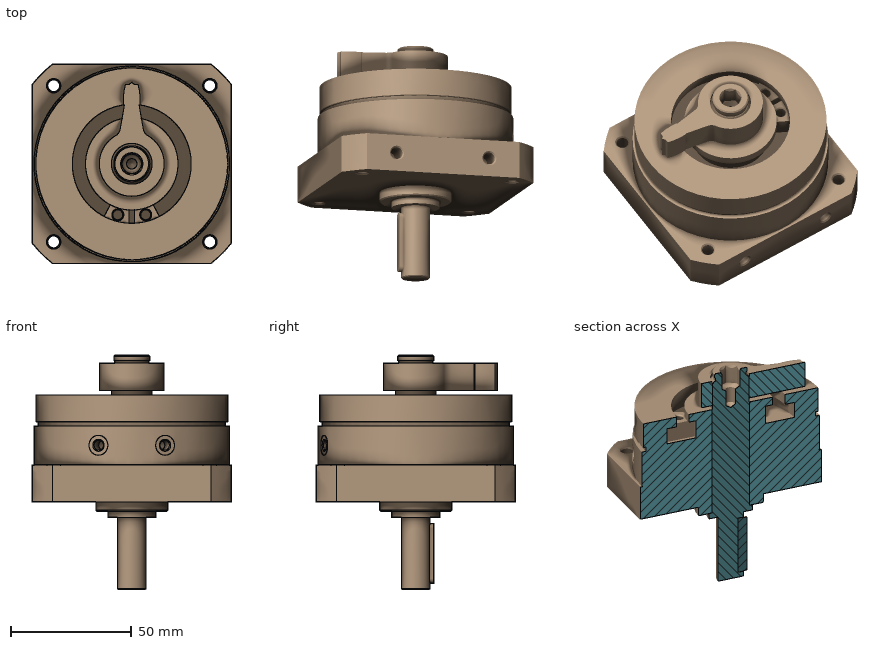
import cadquery as cq
import math


flange_width = 83.0
flange_corner_diameter = 106.0
flange_height = 15.25
flange_hole_pitch = 65.0
side_hole_pitch = 40.0
side_hole_depth = 12.0

body_diameter = 81.5
body_top = flange_height + 16.25
neck_diameter = 78.0
cap_diameter = 80.0
cap_bottom = body_top + 1.75
cap_top = body_top + 13.0
rim_chamfer = 0.25
spigot_diameter = 30.0
spigot_height = 4.0
spigot_chamfer = 0.5

recess_mouth_diameter = 49.5
recess_diameter = 58.0
recess_floor = cap_top - 11.6
lip_bottom = cap_top - 4.8
hub_diameter = 32.0
hub_rim_diameter = 38.5
hub_rim_bottom = cap_top - 3.8

stop_top = hub_rim_bottom
stop_half_angle = 27.7
stop_gap = 2.2
stop_hole_radius = 22.0
stop_hole_angle = 15.3

m5_minor = 4.13
m5_mouth = 5.0
m6_minor = 4.92
m6_mouth = 6.0
drill_tip_angle = 118.0
countersink_angle = 90.0

port_angle = 20.0
port_height = flange_height + 8.25
port_seat_diameter = 8.3
port_seat_radius = 40.5
port_depth = 6.0

journal_diameter = 17.0
collar_diameter = 20.0
collar_height = 2.5
output_diameter = 12.0
output_length = 30.0
output_chamfer = 0.4
shaft_end_diameter = 15.0
shaft_top = cap_top + 16.5
shaft_end_chamfer = 0.5
journal_chamfer = (journal_diameter - shaft_end_diameter) / 2
ring_groove_diameter = 14.3
ring_groove_top = shaft_top - 2.3
ring_groove_width = 1.3
ring_groove_bottom = ring_groove_top - ring_groove_width
collar_bottom = -spigot_height - collar_height
output_end = collar_bottom - output_length

socket_flats = 8.0
socket_corners = socket_flats / math.cos(math.radians(30))
socket_depth = 8.0
socket_chamfer_angle = 60.0
socket_drill_diameter = 4.3
socket_drill_depth = 16.0

key_width = 4.0
key_height = 4.0
key_length = 25.0
key_outer_face = 7.5
key_middle = collar_bottom - output_length / 2

lever_bottom = cap_top + 1.7
lever_thickness = 11.5
lever_top = lever_bottom + lever_thickness
lever_hub_diameter = 27.0
lever_tip = 34.0
lever_shoulder = 33.0
lever_tip_half_width = 1.0
lever_shoulder_half_width = 2.65
lever_grip_half_width = 3.4
lever_grip_end = 24.7
lever_neck_half_width = 3.1
lever_neck_start = 24.2
lever_root_half_width = 5.15
lever_root = 12.4
lever_root_fillet = 4.0
lever_root_search = 1.0


def disc(diameter, bottom, top):
    return cq.Workplane("XY").workplane(offset=bottom).circle(diameter / 2).extrude(top - bottom)


def cone(diameter, tip_angle):
    """Cone hanging point down from a circle at Z = 0."""
    height = diameter / 2 / math.tan(math.radians(tip_angle / 2))
    profile = cq.Workplane("XZ").polyline([(0, 0), (diameter / 2, 0), (0, -height)]).close()
    return profile.revolve(360, (0, 0, 0), (0, 1, 0))


def drill(diameter, depth):
    """Blind hole with a conical end, cut down from Z = 0."""
    tip = cone(diameter, drill_tip_angle).translate((0, 0, -depth))
    return disc(diameter, -depth, 0).union(tip)


def tapped_hole(minor_diameter, mouth_diameter, depth):
    return drill(minor_diameter, depth).union(cone(mouth_diameter, countersink_angle))


def flange():
    plate = cq.Workplane("XY").rect(flange_width, flange_width).extrude(flange_height)
    plate = plate.intersect(disc(flange_corner_diameter, 0, flange_height))
    countersink = cone(m6_mouth, countersink_angle)
    corner_hole = disc(m6_minor, 0, flange_height)
    corner_hole = corner_hole.union(countersink.translate((0, 0, flange_height)))
    corner_hole = corner_hole.union(countersink.mirror("XY"))
    for x in (-flange_hole_pitch / 2, flange_hole_pitch / 2):
        for y in (-flange_hole_pitch / 2, flange_hole_pitch / 2):
            plate = plate.cut(corner_hole.translate((x, y, 0)))
    for y in (-side_hole_pitch / 2, side_hole_pitch / 2):
        hole = tapped_hole(m6_minor, m6_mouth, side_hole_depth).rotate((0, 0, 0), (0, 1, 0), -90)
        plate = plate.cut(hole.translate((-flange_width / 2, y, flange_height / 2)))
    return plate


def air_port():
    """Port on the -Y side: a flat round seat with a tapped hole."""
    seat = disc(port_seat_diameter, 0, body_diameter / 2)
    port = seat.union(tapped_hole(m5_minor, m5_mouth, port_depth))
    return port.rotate((0, 0, 0), (1, 0, 0), 90).translate((0, -port_seat_radius, port_height))


def recess():
    cavity = disc(recess_mouth_diameter, recess_floor, cap_top)
    cavity = cavity.union(disc(recess_diameter, recess_floor, lip_bottom))
    cavity = cavity.cut(disc(hub_diameter, recess_floor, cap_top))
    return cavity.cut(disc(hub_rim_diameter, hub_rim_bottom, cap_top))


def stop_blocks():
    """Two blocks on the -Y side of the recess, parted by a narrow gap."""
    height = stop_top - recess_floor
    reach = recess_diameter
    spread = reach * math.tan(math.radians(stop_half_angle))
    wedge = cq.Workplane("XY").workplane(offset=recess_floor)
    wedge = wedge.polyline([(0, 0), (-spread, -reach), (spread, -reach)]).close().extrude(height)
    ring = disc(recess_mouth_diameter, recess_floor, stop_top)
    ring = ring.union(disc(recess_diameter, recess_floor, lip_bottom))
    ring = ring.cut(disc(hub_diameter, recess_floor, stop_top))
    blocks = ring.intersect(wedge)
    gap = cq.Workplane("XY").box(stop_gap, 2 * reach, 2 * cap_top)
    blocks = blocks.cut(gap)
    for angle in (-stop_hole_angle, stop_hole_angle):
        hole = tapped_hole(m5_minor, m5_mouth, height).translate((0, -stop_hole_radius, stop_top))
        blocks = blocks.cut(hole.rotate((0, 0, 0), (0, 0, 1), angle))
    return blocks


def make_housing():
    housing = flange()
    housing = housing.union(disc(body_diameter, flange_height, body_top).faces("<Z").chamfer(rim_chamfer))
    housing = housing.union(disc(neck_diameter, body_top, cap_bottom))
    housing = housing.union(disc(cap_diameter, cap_bottom, cap_top).faces("<Z").chamfer(rim_chamfer))
    housing = housing.union(disc(spigot_diameter, -spigot_height, 0).faces("<Z").chamfer(spigot_chamfer))
    for angle in (-port_angle, port_angle):
        housing = housing.cut(air_port().rotate((0, 0, 0), (0, 0, 1), angle))
    housing = housing.cut(recess()).union(stop_blocks())
    return housing.cut(disc(journal_diameter, -spigot_height, cap_top))


def socket():
    hexagon = cq.Workplane("XY").polygon(6, socket_corners).extrude(-socket_depth)
    chamfer = cone(socket_corners, socket_chamfer_angle)
    pilot_tip = cone(socket_flats, drill_tip_angle).translate((0, 0, -socket_depth))
    centre_drill = drill(socket_drill_diameter, socket_drill_depth)
    return hexagon.union(chamfer).union(pilot_tip).union(centre_drill).translate((0, 0, shaft_top))


def key_blank():
    blank = cq.Workplane("XZ", origin=(0, key_outer_face, key_middle))
    return blank.slot2D(key_length, key_width, 90).extrude(key_height)


def make_shaft():
    journal = disc(journal_diameter, -spigot_height, ring_groove_bottom).faces(">Z").chamfer(journal_chamfer)
    shaft = disc(output_diameter, output_end, collar_bottom).faces("<Z").chamfer(output_chamfer)
    shaft = shaft.union(disc(collar_diameter, collar_bottom, -spigot_height)).union(journal)
    shaft = shaft.union(disc(ring_groove_diameter, ring_groove_bottom, ring_groove_top))
    shaft_end = disc(shaft_end_diameter, ring_groove_top, shaft_top).faces(">Z").chamfer(shaft_end_chamfer)
    return shaft.union(shaft_end).cut(socket()).cut(key_blank())


def make_lever():
    grip_middle = (lever_shoulder + lever_grip_end) / 2
    arm = (
        cq.Workplane("XY").workplane(offset=lever_bottom)
        .moveTo(0, 0)
        .lineTo(lever_root_half_width, lever_root)
        .lineTo(lever_neck_half_width, lever_neck_start)
        .lineTo(lever_grip_half_width, lever_grip_end)
        .threePointArc((lever_grip_half_width, grip_middle), (lever_shoulder_half_width, lever_shoulder))
        .lineTo(lever_tip_half_width, lever_shoulder)
        .lineTo(0, lever_tip)
        .close()
        .extrude(lever_thickness)
    )
    arm = arm.union(arm.mirror("YZ"))
    lever = arm.union(disc(lever_hub_diameter, lever_bottom, lever_top))
    root_zone = cq.selectors.BoxSelector(
        (-lever_hub_diameter / 2, lever_root - lever_root_search, lever_bottom),
        (lever_hub_diameter / 2, lever_root + lever_root_search, lever_top),
    )
    lever = lever.edges("|Z").edges(root_zone).fillet(lever_root_fillet)
    return lever.cut(disc(journal_diameter, lever_bottom, lever_top))


housing = make_housing().solids()
shaft = make_shaft().solids()
key = key_blank()
lever = make_lever().solids()

result = cq.Compound.makeCompound([housing.val(), shaft.val(), key.val(), lever.val()])